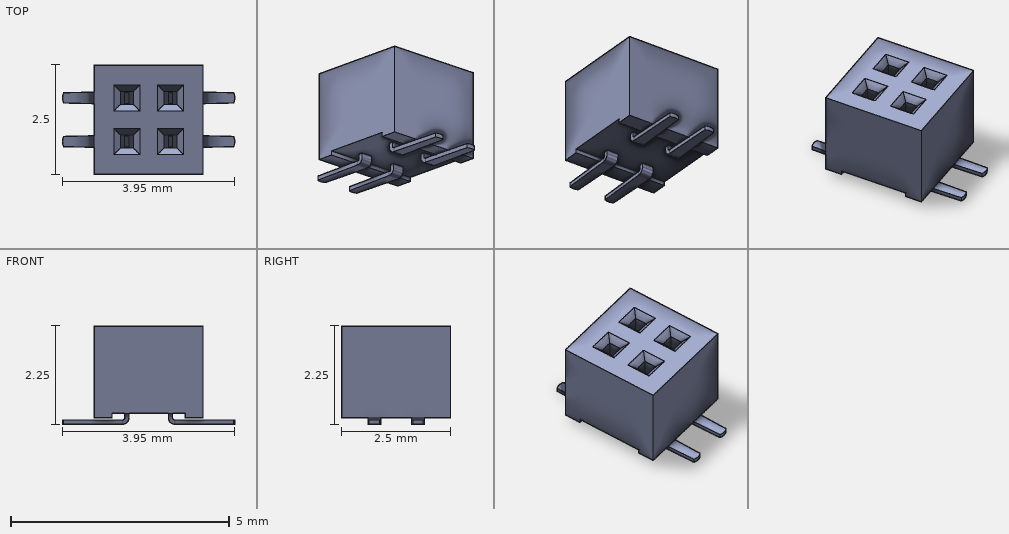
import cadquery as cq
import math

pitch = 1.0
body_side = 2.5
body_top = 2.25
body_bottom = 0.15

channel_width = 1.67
channel_roof = 0.25

mouth_side = 0.6
shaft_side = 0.3
funnel_depth = 0.15
socket_floor = 0.65

lead_span = 3.95
lead_thickness = 0.1
lead_width = 0.3
lead_tip_width = 0.24
tip_bulge = 0.027
bend_inner_radius = 0.05
lead_embed = 0.1

slot_width = lead_thickness
slot_floor_length = 0.255
slot_depth = (shaft_side - slot_floor_length) / 2

half_pitch = pitch / 2
bend_outer_radius = bend_inner_radius + lead_thickness
leg_inner_x = half_pitch - lead_thickness / 2
leg_outer_x = half_pitch + lead_thickness / 2
bend_end_x = leg_outer_x + bend_inner_radius
lead_tip_x = lead_span / 2
leg_top = channel_roof + lead_embed


def make_body():
    """Square housing with the channel cut through its underside."""
    block = cq.Workplane("XY").workplane(offset=body_bottom).rect(body_side, body_side)
    block = block.extrude(body_top - body_bottom)
    channel = cq.Workplane("XY").workplane(offset=body_bottom).rect(channel_width, body_side)
    return block.cut(channel.extrude(channel_roof - body_bottom))


def make_socket():
    """Cutter for one socket: tapered mouth, square shaft and contact slot."""
    shaft_top = body_top - funnel_depth
    funnel = (
        cq.Workplane("XY").workplane(offset=shaft_top).rect(shaft_side, shaft_side)
        .workplane(offset=funnel_depth).rect(mouth_side, mouth_side)
        .loft(ruled=True)
    )
    shaft = cq.Workplane("XY").workplane(offset=socket_floor).rect(shaft_side, shaft_side)
    shaft = shaft.extrude(shaft_top - socket_floor)
    slot = (
        cq.Workplane("YZ")
        .moveTo(-shaft_side / 2, socket_floor)
        .lineTo(shaft_side / 2, socket_floor)
        .lineTo(slot_floor_length / 2, socket_floor - slot_depth)
        .lineTo(-slot_floor_length / 2, socket_floor - slot_depth)
        .close()
        .extrude(slot_width / 2, both=True)
    )
    return funnel.union(shaft).union(slot)


def make_lead():
    """Lead on the +X side: a bent strip trimmed to a tapered, round-nosed plan."""
    diagonal = math.sqrt(0.5)
    bend_center_z = bend_outer_radius
    inner_mid = (bend_end_x - bend_inner_radius * diagonal, bend_center_z - bend_inner_radius * diagonal)
    outer_mid = (bend_end_x - bend_outer_radius * diagonal, bend_center_z - bend_outer_radius * diagonal)
    strip = (
        cq.Workplane("XZ")
        .moveTo(leg_outer_x, leg_top)
        .lineTo(leg_outer_x, bend_center_z)
        .threePointArc(inner_mid, (bend_end_x, lead_thickness))
        .lineTo(lead_tip_x, lead_thickness)
        .lineTo(lead_tip_x, 0)
        .lineTo(bend_end_x, 0)
        .threePointArc(outer_mid, (leg_inner_x, bend_center_z))
        .lineTo(leg_inner_x, leg_top)
        .close()
        .extrude(lead_width / 2, both=True)
    )
    tip_corner_x = lead_tip_x - tip_bulge
    plan = (
        cq.Workplane("XY")
        .moveTo(leg_inner_x, -lead_width / 2)
        .lineTo(bend_end_x, -lead_width / 2)
        .lineTo(tip_corner_x, -lead_tip_width / 2)
        .threePointArc((lead_tip_x, 0), (tip_corner_x, lead_tip_width / 2))
        .lineTo(bend_end_x, lead_width / 2)
        .lineTo(leg_inner_x, lead_width / 2)
        .close()
        .extrude(leg_top)
    )
    return strip.intersect(plan)


body = make_body()
socket = make_socket()
right_lead = make_lead()
left_lead = right_lead.mirror("YZ")

for y in (-half_pitch, half_pitch):
    for x in (-half_pitch, half_pitch):
        body = body.cut(socket.translate((x, y, 0)))
    for lead in (left_lead, right_lead):
        body = body.union(lead.translate((0, y, 0)))

result = body